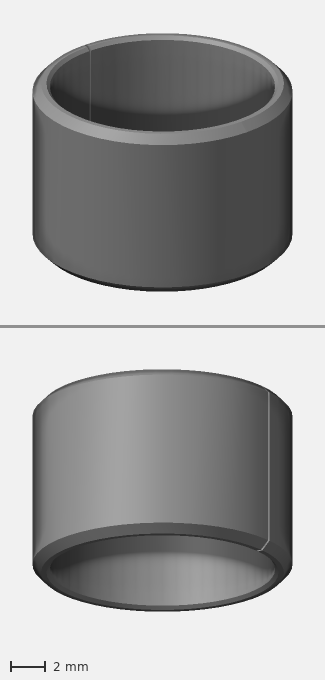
import cadquery as cq

outer_diameter = 15.0
wall = 1.0
height = 10.0
outer_chamfer = 0.5
inner_chamfer = 0.2
slit_width = 0.14

outer_radius = outer_diameter / 2
bore_radius = outer_radius - wall
half_height = height / 2


def bushing_ring():
    """Revolve the wall section, with both rims bevelled inside and outside."""
    rim_inner_radius = bore_radius + inner_chamfer
    rim_outer_radius = outer_radius - outer_chamfer
    bore_edge = half_height - inner_chamfer
    outer_edge = half_height - outer_chamfer
    section = [
        (bore_radius, -bore_edge),
        (rim_inner_radius, -half_height),
        (rim_outer_radius, -half_height),
        (outer_radius, -outer_edge),
        (outer_radius, outer_edge),
        (rim_outer_radius, half_height),
        (rim_inner_radius, half_height),
        (bore_radius, bore_edge),
    ]
    return cq.Workplane("XZ").polyline(section).close().revolve(360, (0, 0), (0, 1))


def slit():
    """Full-height cutter through the -X wall, with one face on the Y = 0 plane."""
    return cq.Workplane("XY").box(
        outer_diameter, slit_width, 2 * height, centered=(True, False, True)
    ).translate((-outer_radius, 0, 0))


result = bushing_ring().cut(slit())